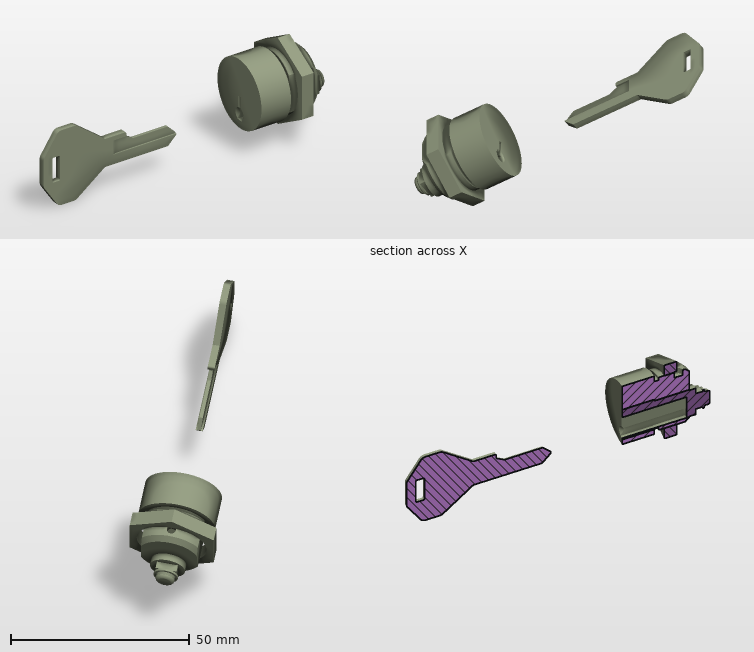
import cadquery as cq
import math


TOTAL_LENGTH = 94.36
TOTAL_HEIGHT = 29.84

HEAD_DIA = 22.0
HEAD_END = 10.0
NECK_DIA = 18.0
NECK_END = 11.3
BODY_DIA = 20.0
BODY_END = 21.0
BODY_CHAMFER = 1.4
FLATS_WIDTH = 16.0
STOP_HOLE_DIA = 2.5
STOP_HOLE_Y = 17.5
STOP_HOLE_DEPTH = 2.0

NUT_WIDTH = 24.0
NUT_START = 13.0
NUT_THICKNESS = 4.0
NUT_POINT_RADIUS = NUT_WIDTH / 2 / math.cos(math.radians(30))

CORE_Z = -3.5
CORE_DIA = 11.0
CORE_REAR_DIA = 10.0
CORE_SHOULDER = HEAD_END
BOSS_END = BODY_END + 2.0
SQUARE_SIZE = 6.0
SQUARE_END = BOSS_END + 2.0
COLLAR_DIA = 7.0
COLLAR_END = SQUARE_END + 0.6
GROOVE_START_RADIUS = 2.8
GROOVE_RADIUS = 2.55
GROOVE_BOTTOM = COLLAR_END + 0.65
TIP_RADIUS = 2.75
TIP_START = GROOVE_BOTTOM + 0.15
TIP_END_RADIUS = 1.95
CORE_LENGTH = 27.36
TIP_MIDDLE_RADIUS = 2.5
TIP_MIDDLE = 27.0

KEY_LENGTH = 45.0
KEY_TAIL_Y = CORE_LENGTH - TOTAL_LENGTH
KEY_TIP_Y = KEY_TAIL_Y + KEY_LENGTH
KEY_BOTTOM_Z = NUT_POINT_RADIUS - TOTAL_HEIGHT
BOW_HALF_HEIGHT = 12.0
KEY_Z = KEY_BOTTOM_Z + BOW_HALF_HEIGHT
KEY_THICKNESS = 2.0
SHANK_HALF_HEIGHT = 4.5
SHANK_LENGTH = 24.2
BOW_FLAT_START = 34.1
BOW_FLAT_END = 40.0
BOW_FILLET = 2.0
STEP_FROM_TIP = 17.0
STEP_FILLET = 0.5
RAMP_START = 14.5
RAMP_TOP = 2.9
BLADE_TOP = 1.45
TIP_HEIGHT = -1.4
TIP_HALF_BLUNT = 0.25
RELIEF_TOP = 3.1
RELIEF_THICKNESS = 1.0
RELIEF_FLOOR_LENGTH = 19.7
RELIEF_LENGTH = 21.4
RING_SLOT_WIDTH = 2.6
RING_SLOT_HEIGHT = 8.0
RING_SLOT_MARGIN = 3.0
RING_SLOT_FILLET = 0.4

KEYHOLE_DEPTH = 20.0
LEAD_IN_DIA = 4.0
LEAD_IN_DEPTH = 1.0
LEAD_IN_Z = CORE_Z - 3.0


def cylinder(diameter, start, end, z=0.0):
    """Cylinder along Y between two Y positions."""
    return cq.Workplane("XZ", origin=(0, start, z)).circle(diameter / 2).extrude(start - end)


def core_envelope():
    """Stepped cylinder that the core fills inside the housing."""
    front = cylinder(CORE_DIA, 0, CORE_SHOULDER, CORE_Z)
    return front.union(cylinder(CORE_REAR_DIA, CORE_SHOULDER, BOSS_END, CORE_Z))


def make_housing():
    neck = cylinder(NECK_DIA, HEAD_END, NECK_END)
    body = cylinder(BODY_DIA, NECK_END, BODY_END).faces(">Y").chamfer(BODY_CHAMFER)
    barrel_length = BODY_END - HEAD_END
    flats = cq.Workplane("XY").box(FLATS_WIDTH, barrel_length, BODY_DIA)
    flats = flats.translate((0, HEAD_END + barrel_length / 2, 0))
    barrel = neck.union(body).intersect(flats)
    stop_hole = (
        cq.Workplane("XY", origin=(0, STOP_HOLE_Y, BODY_DIA / 2 - STOP_HOLE_DEPTH))
        .circle(STOP_HOLE_DIA / 2)
        .extrude(STOP_HOLE_DEPTH)
    )
    head = cylinder(HEAD_DIA, 0, HEAD_END)
    return head.union(barrel).cut(core_envelope()).cut(stop_hole)


def make_nut():
    nut = (
        cq.Workplane("XZ", origin=(0, NUT_START, 0))
        .polygon(6, 2 * NUT_POINT_RADIUS)
        .extrude(-NUT_THICKNESS)
        .rotate((0, 0, 0), (0, 1, 0), 30)
    )
    return nut.cut(cylinder(BODY_DIA, NUT_START, NUT_START + NUT_THICKNESS))


def make_stud():
    """Square shank, collar, groove and domed tip behind the boss."""
    square = (
        cq.Workplane("XZ", origin=(0, BOSS_END, CORE_Z))
        .rect(SQUARE_SIZE, SQUARE_SIZE)
        .extrude(BOSS_END - SQUARE_END)
    )
    turned = (
        cq.Workplane("XY")
        .moveTo(0, SQUARE_END)
        .lineTo(COLLAR_DIA / 2, SQUARE_END)
        .lineTo(COLLAR_DIA / 2, COLLAR_END)
        .lineTo(GROOVE_START_RADIUS, COLLAR_END)
        .lineTo(GROOVE_RADIUS, GROOVE_BOTTOM)
        .lineTo(TIP_RADIUS, TIP_START)
        .threePointArc((TIP_MIDDLE_RADIUS, TIP_MIDDLE), (TIP_END_RADIUS, CORE_LENGTH))
        .lineTo(0, CORE_LENGTH)
        .close()
        .revolve(360, (0, 0, 0), (0, 1, 0))
        .translate((0, 0, CORE_Z))
    )
    return square.union(turned)


def make_keyhole():
    """Keyway with the two widths of the blade, and a conical lead-in."""
    def keyway(width, bottom, top):
        slot = cq.Workplane("XY").box(width, KEYHOLE_DEPTH, top - bottom)
        return slot.translate((0, KEYHOLE_DEPTH / 2, KEY_Z + (bottom + top) / 2))

    lower = keyway(KEY_THICKNESS, -SHANK_HALF_HEIGHT, TIP_HEIGHT)
    upper = keyway(RELIEF_THICKNESS, TIP_HEIGHT, RELIEF_TOP)
    cone = cq.Workplane(cq.Solid.makeCone(
        LEAD_IN_DIA / 2, LEAD_IN_DIA / 2 - LEAD_IN_DEPTH, LEAD_IN_DEPTH,
        pnt=cq.Vector(0, 0, LEAD_IN_Z), dir=cq.Vector(0, 1, 0),
    ))
    return lower.union(upper).union(cone)


def make_core():
    return core_envelope().union(make_stud()).cut(make_keyhole())


def key_profile():
    """Key outline as (distance from tip, height) points on the key's own axis."""
    tip_top = TIP_HEIGHT + TIP_HALF_BLUNT
    tip_bottom = TIP_HEIGHT - TIP_HALF_BLUNT
    return [
        (0, tip_top),
        (BLADE_TOP - tip_top, BLADE_TOP),
        (RAMP_START, BLADE_TOP),
        (STEP_FROM_TIP, RAMP_TOP),
        (STEP_FROM_TIP, SHANK_HALF_HEIGHT),
        (SHANK_LENGTH, SHANK_HALF_HEIGHT),
        (BOW_FLAT_START, BOW_HALF_HEIGHT),
        (BOW_FLAT_END, BOW_HALF_HEIGHT),
        (KEY_LENGTH, SHANK_HALF_HEIGHT),
        (KEY_LENGTH, -SHANK_HALF_HEIGHT),
        (BOW_FLAT_END, -BOW_HALF_HEIGHT),
        (BOW_FLAT_START, -BOW_HALF_HEIGHT),
        (SHANK_LENGTH, -SHANK_HALF_HEIGHT),
        (tip_bottom + SHANK_HALF_HEIGHT, -SHANK_HALF_HEIGHT),
        (0, tip_bottom),
    ]


def fillet_key_corners(key, corners, radius):
    """Round the through-thickness edges at (distance from tip, height) corners."""
    for distance, height in corners:
        edge = cq.selectors.NearestToPointSelector((0, KEY_TIP_Y - distance, KEY_Z + height))
        key = key.edges("|X").edges(edge).fillet(radius)
    return key


def make_blade_relief():
    """Pocket that thins the blade on its +X flank and sweeps out to the face in an arc."""
    floor_x = RELIEF_THICKNESS / 2
    face_x = KEY_THICKNESS / 2
    return (
        cq.Workplane("XY", origin=(0, 0, KEY_Z + TIP_HEIGHT))
        .moveTo(floor_x, KEY_TIP_Y)
        .lineTo(floor_x, KEY_TIP_Y - RELIEF_FLOOR_LENGTH)
        .tangentArcPoint((face_x, KEY_TIP_Y - RELIEF_LENGTH), relative=False)
        .lineTo(face_x, KEY_TIP_Y)
        .close()
        .extrude(RELIEF_TOP - TIP_HEIGHT)
    )


def make_key():
    outline = [(KEY_TIP_Y - distance, KEY_Z + height) for distance, height in key_profile()]
    key = cq.Workplane("YZ").polyline(outline).close().extrude(KEY_THICKNESS / 2, both=True)
    bow_corners = [
        (distance, side * height)
        for side in (1, -1)
        for distance, height in (
            (BOW_FLAT_START, BOW_HALF_HEIGHT),
            (BOW_FLAT_END, BOW_HALF_HEIGHT),
            (KEY_LENGTH, SHANK_HALF_HEIGHT),
        )
    ]
    key = fillet_key_corners(key, bow_corners, BOW_FILLET)
    key = fillet_key_corners(key, [(STEP_FROM_TIP, SHANK_HALF_HEIGHT)], STEP_FILLET)
    relief = make_blade_relief()
    key = key.cut(relief).cut(relief.mirror("YZ"))
    ring_slot = (
        cq.Workplane("XY")
        .box(KEY_THICKNESS, RING_SLOT_WIDTH, RING_SLOT_HEIGHT)
        .edges("|X")
        .fillet(RING_SLOT_FILLET)
        .translate((0, KEY_TAIL_Y + RING_SLOT_MARGIN + RING_SLOT_WIDTH / 2, KEY_Z))
    )
    return key.cut(ring_slot)


housing = make_housing()
nut = make_nut()
core = make_core()
key = make_key()

result = cq.Compound.makeCompound([
    *housing.solids().vals(),
    *nut.solids().vals(),
    *core.solids().vals(),
    *key.solids().vals(),
])